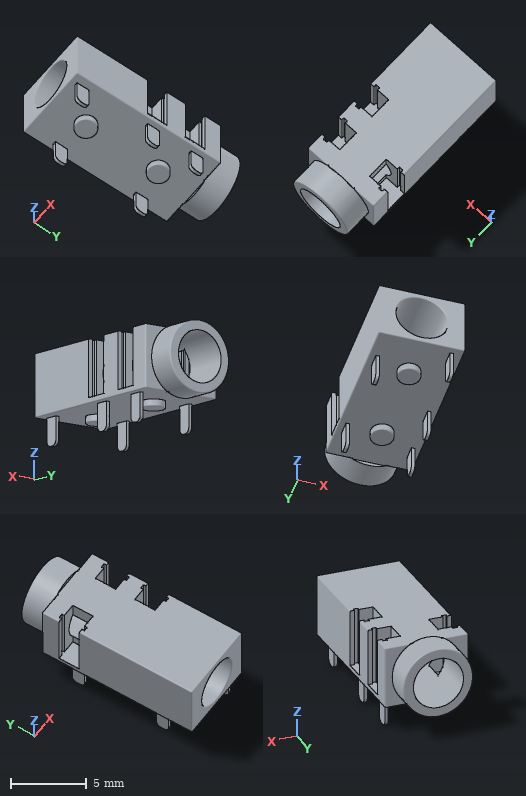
import cadquery as cq


body_width = 6.0
body_length = 12.0
body_height = 4.42
overall_length = 14.0
overall_height = 6.69
sleeve_diameter = 5.0
bore_diameter = 3.6
edge_radius = 0.1
body_bottom = -body_height / 2
body_top = body_height / 2

pocket_length = 1.61
pocket_inner_x = 1.36
pocket_floor_thickness = 0.4
rear_pocket_y = 9.83
pocket_pitch = 3.15
front_pocket_y = rear_pocket_y - pocket_pitch
groove_inner_x = 2.37
groove_width = 0.31
groove_depth = 0.2
pocket_positions = (
    (-1, rear_pocket_y),
    (1, rear_pocket_y),
    (1, front_pocket_y),
)

peg_diameter = 1.6
peg_height = 0.5
peg_positions_y = (3.0, 9.02)

pin_width = 1.0
pin_thickness = 0.25
pin_length = overall_height - sleeve_diameter / 2 - body_height / 2
pin_corner_radius = 0.4
outer_pin_x = 2.42
inner_pin_x = 2.21
pin_positions = (
    (-outer_pin_x, 2.69),
    (-outer_pin_x, 9.4),
    (inner_pin_x, 1.0),
    (outer_pin_x, 6.7),
    (outer_pin_x, 10.33),
)


def cylinder_along_y(diameter, start_y, length):
    return cq.Workplane("XZ", origin=(0, start_y, 0)).circle(diameter / 2).extrude(-length)


def make_housing():
    """Block with all edges rounded and a round sleeve at the rear, bored through."""
    block = cq.Workplane("XY", origin=(0, body_length / 2, 0)).box(body_width, body_length, body_height)
    sleeve = (
        cylinder_along_y(sleeve_diameter, body_length, overall_length - body_length)
        .faces(">Y")
        .edges()
        .fillet(edge_radius)
    )
    sleeve_root = cylinder_along_y(sleeve_diameter, body_length / 2, body_length / 2).intersect(block)
    housing = block.edges().fillet(edge_radius).union(sleeve_root).union(sleeve)

    housing = housing.cut(cylinder_along_y(bore_diameter, 0, overall_length))
    return housing.faces("<Y").edges("%CIRCLE").fillet(edge_radius)


def make_pocket(side, center_y):
    """Pocket with a vertical groove in each end wall; side is -1 or +1 along X."""
    floor_z = body_bottom + pocket_floor_thickness
    depth = body_top - floor_z
    pocket_width = body_width / 2 - pocket_inner_x
    pocket = cq.Workplane("XY", origin=(side * (pocket_inner_x + pocket_width / 2), center_y, floor_z)).box(
        pocket_width, pocket_length, depth, centered=(True, True, False)
    )
    grooves = cq.Workplane("XY", origin=(side * (groove_inner_x + groove_width / 2), center_y, floor_z)).box(
        groove_width, pocket_length + 2 * groove_depth, depth, centered=(True, True, False)
    )
    return pocket.union(grooves)


def make_peg(center_y):
    return (
        cq.Workplane("XY", origin=(0, center_y, body_bottom))
        .circle(peg_diameter / 2)
        .extrude(-peg_height)
        .faces("<Z")
        .edges()
        .fillet(edge_radius)
    )


def make_pin(center_x, center_y):
    return (
        cq.Workplane("XY", origin=(center_x, center_y, body_bottom))
        .rect(pin_thickness, pin_width)
        .extrude(-pin_length)
        .edges("|X and <Z")
        .fillet(pin_corner_radius)
    )


result = make_housing()

for side, center_y in pocket_positions:
    result = result.cut(make_pocket(side, center_y))

for center_y in peg_positions_y:
    result = result.union(make_peg(center_y))

for center_x, center_y in pin_positions:
    result = result.union(make_pin(center_x, center_y))